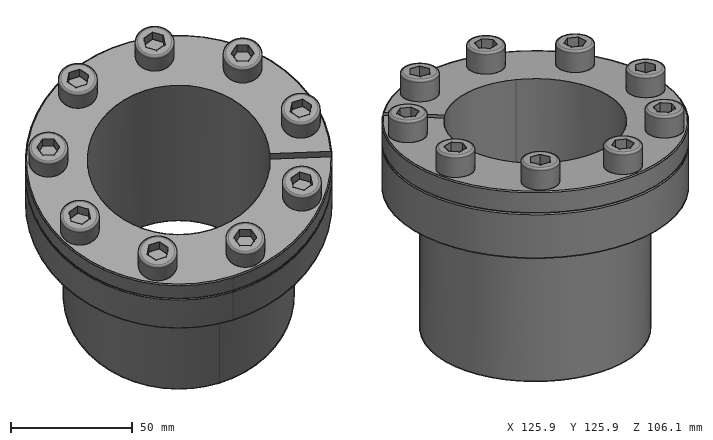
import cadquery as cq
import math


flange_diameter = 125.9
bore_diameter = 75.0
sleeve_diameter = 95.0
flange_bottom = 65.0
seam_height = 85.9
flange_top = 96.1
root_radius = 6.3
edge_chamfer = 0.5
sleeve_end_chamfer = 0.4

slit_width = 2.8
slit_angle = 18.0

screw_count = 9
screw_circle_diameter = 107.0
first_screw_angle = 90.0
head_diameter = 16.0
head_height = 10.0
head_edge_radius = 1.0
socket_across_flats = 8.0
socket_depth = 5.0
screw_hole_diameter = 10.0

flange_radius = flange_diameter / 2
sleeve_radius = sleeve_diameter / 2


def make_body():
    """Revolve the sleeve and its flange, including the root fillet and the V-shaped seam."""
    bore_radius = bore_diameter / 2
    chamfered_radius = flange_radius - edge_chamfer
    arc_inset = root_radius * (1 - math.cos(math.radians(45)))
    arc_middle = (sleeve_radius + arc_inset, flange_bottom - arc_inset)

    profile = (
        cq.Workplane("XZ")
        .moveTo(bore_radius, 0)
        .lineTo(sleeve_radius - sleeve_end_chamfer, 0)
        .lineTo(sleeve_radius, sleeve_end_chamfer)
        .lineTo(sleeve_radius, flange_bottom - root_radius)
        .threePointArc(arc_middle, (sleeve_radius + root_radius, flange_bottom))
        .lineTo(chamfered_radius, flange_bottom)
        .lineTo(flange_radius, flange_bottom + edge_chamfer)
        .lineTo(flange_radius, seam_height - edge_chamfer)
        .lineTo(chamfered_radius, seam_height)
        .lineTo(flange_radius, seam_height + edge_chamfer)
        .lineTo(flange_radius, flange_top - edge_chamfer)
        .lineTo(chamfered_radius, flange_top)
        .lineTo(bore_radius, flange_top)
        .close()
    )
    return profile.revolve(360, (0, 0, 0), (0, 1, 0))


def make_slit():
    """Radial slot that opens one side of the wall over its full height."""
    return (
        cq.Workplane("XY")
        .rect(slit_width, flange_diameter)
        .extrude(flange_top)
        .translate((0, flange_radius, 0))
        .rotate((0, 0, 0), (0, 0, 1), -slit_angle)
    )


def make_screw_head():
    """Cylindrical head with a rounded rim and a hexagon socket."""
    head = (
        cq.Workplane("XY")
        .circle(head_diameter / 2)
        .extrude(head_height)
        .faces(">Z")
        .edges()
        .fillet(head_edge_radius)
    )
    socket_across_corners = socket_across_flats / math.cos(math.radians(30))
    return (
        head.faces(">Z")
        .workplane()
        .polygon(6, socket_across_corners)
        .cutBlind(-socket_depth)
    )


def make_root_clearance():
    """Screw hole running through the root fillet, up to the flange underside."""
    return (
        cq.Workplane("XY")
        .workplane(offset=flange_bottom - root_radius)
        .circle(screw_hole_diameter / 2)
        .extrude(root_radius)
    )


def place_at_screw(shape, index):
    """Move a shape from the axis to one place on the screw circle."""
    angle = first_screw_angle + index * 360 / screw_count
    return (
        shape.translate((screw_circle_diameter / 2, 0, 0))
        .rotate((0, 0, 0), (0, 0, 1), angle)
    )


screw_head = make_screw_head().translate((0, 0, flange_top))
root_clearance = make_root_clearance()

result = make_body().cut(make_slit())
for screw in range(screw_count):
    result = result.cut(place_at_screw(root_clearance, screw))
    result = result.union(place_at_screw(screw_head, screw))